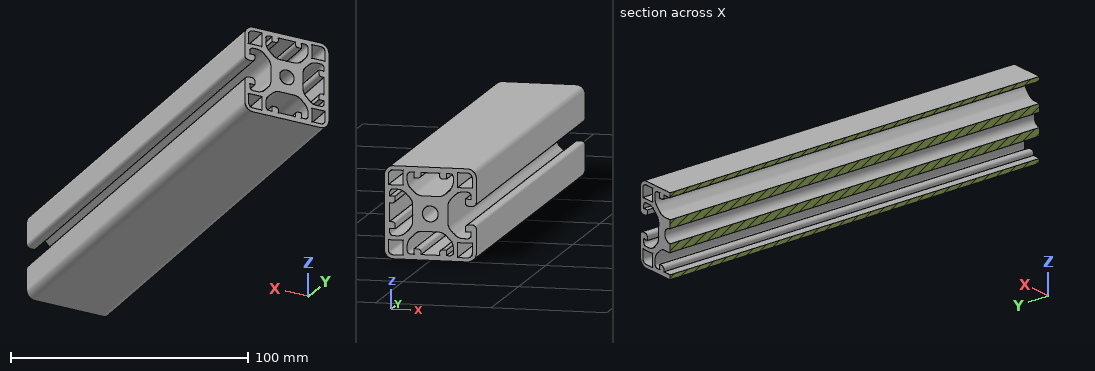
import cadquery as cq

length = 200.0
side = 40.0
corner_radius = 4.0
half_side = side / 2
bore_diameter = 6.8

skin = 1.8
chamber_inner = 11.8
chamber_outer = half_side - skin
chamber_radius = corner_radius - skin

slot_floor = 7.5
slot_roof = 17.5
slot_half_width = 10.0
slope_offset = 2.2
slope_radius = 5.0
roof_radius = 1.5

lip_bottom = 15.2
lip_mouth = 4.0
lip_back = 7.0
lip_radius = 1.5
mouth_radius = 1.8

TOP, LEFT, BOTTOM, RIGHT = 0, 90, 180, 270


def prism(sketch):
    """Extrude a closed cross-section along the whole bar, centred on Y."""
    return sketch.extrude(length / 2, both=True)


def section():
    return cq.Workplane("XZ")


def turned(body, angle):
    """Turn a feature of the top side about the bar axis to another side."""
    return body.rotate((0, 0, 0), (0, -1, 0), angle)


def box_prism(x_min, x_max, z_min, z_max):
    return prism(
        section()
        .center((x_min + x_max) / 2, (z_min + z_max) / 2)
        .rect(x_max - x_min, z_max - z_min)
    )


def corner_chamber():
    chamber = box_prism(chamber_inner, chamber_outer, chamber_inner, chamber_outer)
    return chamber.edges("|Y and >X and >Z").fillet(chamber_radius)


def slot_cavity():
    """Cavity under the top side, with 45-degree slopes down to a flat floor."""
    floor_half_width = slot_floor - slope_offset
    slope_top = slot_half_width + slope_offset
    cavity = prism(
        section().polyline([
            (-slot_half_width, slot_roof),
            (-slot_half_width, slope_top),
            (-floor_half_width, slot_floor),
            (floor_half_width, slot_floor),
            (slot_half_width, slope_top),
            (slot_half_width, slot_roof),
        ]).close()
    )
    cavity = cavity.edges("|Y and (not >Z)").fillet(slope_radius)
    return cavity.edges("|Y and >Z").fillet(roof_radius)


def closed_lips():
    """Pair of lips in a slot whose mouth is closed by the outer skin."""
    lip = box_prism(lip_mouth, lip_back, lip_bottom, half_side)
    lip = lip.edges("|Y and <X and <Z").fillet(lip_radius)
    return lip.union(lip.mirror("YZ"))


def open_mouth():
    """Gap between rounded lips, cut through the outer skin."""
    return box_prism(-lip_mouth, lip_mouth, slot_roof, half_side)


bar = prism(section().rect(side, side)).edges("|Y").fillet(corner_radius)
bar = bar.cut(prism(section().circle(bore_diameter / 2)))

for angle in (TOP, LEFT, BOTTOM, RIGHT):
    bar = bar.cut(turned(corner_chamber(), angle))
    bar = bar.cut(turned(slot_cavity(), angle))
    bar = bar.union(turned(closed_lips(), angle))

bar = bar.cut(turned(open_mouth(), RIGHT))
mouth_zone = cq.selectors.BoxSelector(
    (slot_roof, -length, -lip_back),
    (side, length, lip_back),
)
result = bar.edges("|Y and >X").edges(mouth_zone).fillet(mouth_radius)